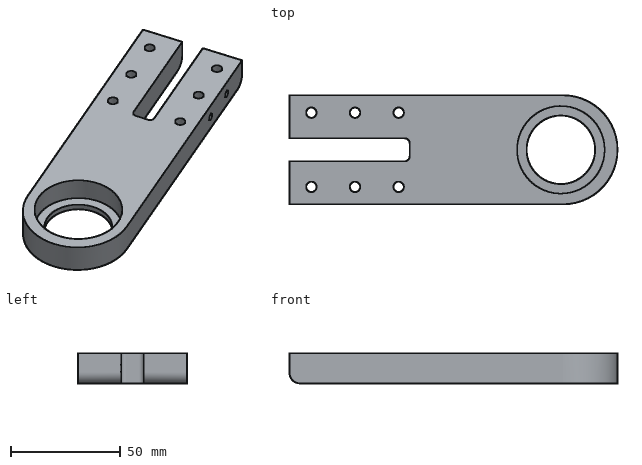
import cadquery as cq

length = 150.0
width = 50.0
thickness = 14.0
end_radius = width / 2
bottom_edge_radius = 5.0

slot_length = 54.9
slot_width = 10.4
slot_corner_radius = 2.1

mount_hole_diameter = 4.6
mount_hole_start = 10.0
mount_hole_spacing = 20.0
mount_holes_per_row = 3
mount_row_offset = 17.0

cross_hole_diameter = 3.3
cross_hole_positions = (16.8, 34.2)

bore_center_x = 124.0
seat_diameter = 40.0
seat_depth = 11.0
bore_diameter = 31.2


def make_plate():
    straight_length = length - end_radius
    plate = (
        cq.Workplane("XY")
        .moveTo(0, -width / 2)
        .lineTo(straight_length, -width / 2)
        .threePointArc((length, 0), (straight_length, width / 2))
        .lineTo(0, width / 2)
        .close()
        .extrude(thickness)
    )
    return plate.faces("<X").edges("<Z").fillet(bottom_edge_radius)


def make_slot():
    slot = cq.Workplane("XY").box(slot_length, slot_width, thickness, centered=(False, True, False))
    return slot.edges("|Z and >X").fillet(slot_corner_radius)


def make_mount_holes():
    centers = [
        (mount_hole_start + index * mount_hole_spacing, side * mount_row_offset)
        for index in range(mount_holes_per_row)
        for side in (-1, 1)
    ]
    return cq.Workplane("XY").pushPoints(centers).circle(mount_hole_diameter / 2).extrude(thickness)


def make_cross_holes():
    centers = [(x, thickness / 2) for x in cross_hole_positions]
    return cq.Workplane("XZ").pushPoints(centers).circle(cross_hole_diameter / 2).extrude(-width / 2)


def make_stepped_bore():
    bore = cq.Workplane("XY").center(bore_center_x, 0).circle(bore_diameter / 2).extrude(thickness)
    seat = (
        cq.Workplane("XY", origin=(bore_center_x, 0, thickness - seat_depth))
        .circle(seat_diameter / 2)
        .extrude(seat_depth)
    )
    return bore.union(seat)


result = (
    make_plate()
    .cut(make_slot())
    .cut(make_mount_holes())
    .cut(make_cross_holes())
    .cut(make_stepped_bore())
)